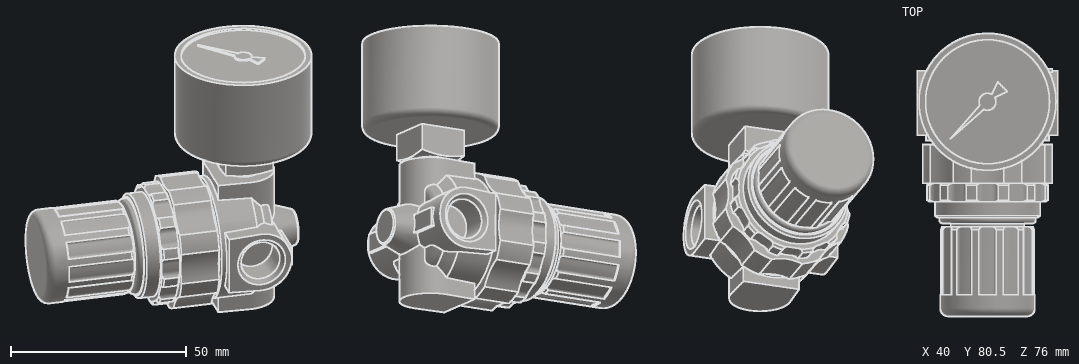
import cadquery as cq
import math


boss_span = 40.0
boss_end = boss_span / 2
boss_radius = 8.85
boss_front = -9.6
boss_taper = math.radians(2.9)
port_diameter = 11.4
port_mouth_diameter = 14.0
port_depth = 9.7
rib_width = 5.3
rib_start = -16.1
rib_end = 18.4
rib_back = 9.4

shell_radius = 35.0 / 2
shell_front = -11.0
back_radius = 14.6
back_cone_end = shell_radius - back_radius
back_rounding = 3.0
back_face = back_cone_end + back_rounding
groove_radius = 29.8 / 2
bonnet_back = -12.1
bonnet_front = -23.2
ring_front = -28.4
collar_radius = 30.0 / 2
collar_front = -32.45
step_radius = 28.3 / 2
step_front = -33.0
lip_radius = 27.5 / 2
lip_front = -34.6
lip_rounding = 1.05
neck_radius = 21.0 / 2
plug_base_radius = 8.2
plug_end_radius = 5.15
plug_end = 15.1
plug_chamfer = 0.4

bonnet_radius = 19.0
bonnet_valley = 17.6
bonnet_scallops = 8
bonnet_scallop_half_angle = 14.0

ring_radius = 35.0 / 2
ring_floor = 16.35
ring_floor_half_width = 1.3
ring_notches = 12
ring_land_half_angle = 5.0
ring_chamfer_length = 0.5
ring_chamfer_depth = 0.9

knob_radius = 27.0 / 2
knob_back = -35.5
knob_front = -61.0
knob_rounding = 2.3
knob_chamfer_length = 0.8
knob_chamfer_depth = 0.6
flute_count = 12
flute_front = -54.8
flute_floor = 13.0
flute_floor_half_width = 1.5
flute_half_width = 2.4

gauge_radius = 39.0 / 2
gauge_top = 55.95
gauge_bottom = 29.7
gauge_rounding = 2.0
dial_radius = 17.6
dial_depth = 0.6
stem_radius = 9.75 / 2
square_side = 14.0
square_bottom = 21.3
square_chamfer_height = 0.9
hub_radius = 2.4
pointer_thickness = 0.4
pointer_tip = 14.9
pointer_base_half_width = 0.8
tail_half_width = 0.65
tail_end_half_width = 1.9
tail_length = 6.0
pointer_angle = 225.0


def polar(radius, degrees):
    """Point at a radius and an angle."""
    angle = math.radians(degrees)
    return (radius * math.cos(angle), radius * math.sin(angle))


def extrude_along_y(profile, back, front):
    """Extrude a closed profile, drawn on the XZ plane, from back towards -Y to front."""
    return profile.extrude(back - front).translate((0, back, 0))


def revolve_about_y(points):
    """Turn (radius, y) points about the Y axis."""
    return cq.Workplane("XY").polyline(points).close().revolve(360, (0, 0, 0), (0, 1, 0))


def boss_bar():
    """Bar along Z through both bosses: round at the back, tapered flats to the front."""
    tangent_x = boss_radius * math.cos(boss_taper)
    tangent_y = -boss_radius * math.sin(boss_taper)
    front_x = tangent_x - (tangent_y - boss_front) * math.tan(boss_taper)
    return (
        cq.Workplane("XY", origin=(0, 0, -boss_end))
        .moveTo(front_x, boss_front)
        .lineTo(tangent_x, tangent_y)
        .threePointArc((0, boss_radius), (-tangent_x, tangent_y))
        .lineTo(-front_x, boss_front)
        .close()
        .extrude(boss_span)
    )


def port_cut():
    """Blind port with a 45 degree mouth, entering from the -X end."""
    port_radius = port_diameter / 2
    mouth_radius = port_mouth_diameter / 2
    mouth_depth = mouth_radius - port_radius
    return (
        cq.Workplane("XY")
        .polyline([
            (-boss_end, 0),
            (-boss_end, mouth_radius),
            (-boss_end + mouth_depth, port_radius),
            (-boss_end + port_depth, port_radius),
            (-boss_end + port_depth, 0),
        ])
        .close()
        .revolve(360, (0, 0, 0), (1, 0, 0))
    )


def turned_core():
    """Shell, rounded back, groove, collar, lip and neck in one turned piece."""
    back_arc_x, back_arc_y = polar(back_rounding, 45)
    lip_arc_x, lip_arc_y = polar(lip_rounding, 45)
    return (
        cq.Workplane("XY")
        .moveTo(0, back_face)
        .lineTo(back_radius - back_rounding, back_face)
        .threePointArc(
            (back_radius - back_rounding + back_arc_x, back_cone_end + back_arc_y),
            (back_radius, back_cone_end),
        )
        .lineTo(shell_radius, 0)
        .lineTo(shell_radius, shell_front)
        .lineTo(groove_radius, shell_front)
        .lineTo(groove_radius, ring_front)
        .lineTo(collar_radius, ring_front)
        .lineTo(collar_radius, collar_front)
        .lineTo(step_radius, step_front)
        .lineTo(lip_radius, step_front)
        .lineTo(lip_radius, lip_front + lip_rounding)
        .threePointArc(
            (lip_radius - lip_rounding + lip_arc_x, lip_front + lip_rounding - lip_arc_y),
            (lip_radius - lip_rounding, lip_front),
        )
        .lineTo(neck_radius, lip_front)
        .lineTo(neck_radius, knob_back)
        .lineTo(0, knob_back)
        .close()
        .revolve(360, (0, 0, 0), (0, 1, 0))
    )


def back_plug():
    """Tapered plug behind the housing."""
    return revolve_about_y([
        (0, 0),
        (plug_base_radius, 0),
        (plug_base_radius, back_face),
        (plug_end_radius, plug_end - plug_chamfer),
        (plug_end_radius - plug_chamfer, plug_end),
        (0, plug_end),
    ])


def bonnet():
    """Round bonnet with eight shallow concave scallops."""
    pitch = 360 / bonnet_scallops
    outline = cq.Workplane("XZ").moveTo(*polar(bonnet_radius, -bonnet_scallop_half_angle))
    for i in range(bonnet_scallops):
        middle = i * pitch
        scallop_end = middle + bonnet_scallop_half_angle
        next_scallop = middle + pitch - bonnet_scallop_half_angle
        outline = outline.threePointArc(polar(bonnet_valley, middle), polar(bonnet_radius, scallop_end))
        outline = outline.threePointArc(
            polar(bonnet_radius, middle + pitch / 2), polar(bonnet_radius, next_scallop)
        )
    return extrude_along_y(outline.close(), bonnet_back, bonnet_front)


def cut_notches(body, count, floor_radius, floor_half_width, edge, back, front):
    """Cut equal notches around Y. The floor follows floor_radius and curves up to the (x, z) edge."""
    edge_x, edge_z = edge
    outside_x = edge_x + 0.8
    floor_end_x = math.sqrt(floor_radius**2 - floor_half_width**2)
    floor_middle = polar(floor_radius, math.degrees(math.asin(floor_half_width / floor_radius)) / 2)
    half_profile = (
        cq.Workplane("XZ")
        .moveTo(floor_radius, 0)
        .threePointArc(floor_middle, (floor_end_x, floor_half_width))
        .tangentArcPoint((edge_x, edge_z), relative=False)
        .lineTo(outside_x, edge_z)
        .lineTo(outside_x, 0)
        .close()
    )
    half_cutter = extrude_along_y(half_profile, back, front)
    cutter = half_cutter.union(half_cutter.mirror("XY"))
    for i in range(count):
        body = body.cut(cutter.rotate((0, 0, 0), (0, 1, 0), i * 360 / count))
    return body


def grip_ring():
    """Chamfered ring with twelve notches around it."""
    chamfer_radius = ring_radius - ring_chamfer_depth
    ring = revolve_about_y([
        (0, bonnet_front),
        (chamfer_radius, bonnet_front),
        (ring_radius, bonnet_front - ring_chamfer_length),
        (ring_radius, ring_front + ring_chamfer_length),
        (chamfer_radius, ring_front),
        (0, ring_front),
    ])
    notch_edge = polar(ring_radius, 180 / ring_notches - ring_land_half_angle)
    return cut_notches(
        ring, ring_notches, ring_floor, ring_floor_half_width, notch_edge, bonnet_front, ring_front
    )


def make_housing():
    rib = cq.Workplane("XY").box(
        rib_end - rib_start, rib_back, rib_width, centered=(False, False, True)
    ).translate((rib_start, 0, 0))
    body = (
        turned_core()
        .union(boss_bar())
        .union(boss_bar().rotate((0, 0, 0), (0, 1, 0), 90))
        .union(back_plug())
        .union(bonnet())
        .union(grip_ring())
        .union(rib)
    )
    for angle in (0, 180):
        body = body.cut(port_cut().rotate((0, 0, 0), (0, 1, 0), angle))
    return body


def make_knob():
    """Knob with a rounded front, a chamfered back and flutes open to the back."""
    arc_x, arc_y = polar(knob_rounding, 45)
    blank = (
        cq.Workplane("XY")
        .moveTo(0, knob_back)
        .lineTo(knob_radius - knob_chamfer_depth, knob_back)
        .lineTo(knob_radius, knob_back - knob_chamfer_length)
        .lineTo(knob_radius, knob_front + knob_rounding)
        .threePointArc(
            (knob_radius - knob_rounding + arc_x, knob_front + knob_rounding - arc_y),
            (knob_radius - knob_rounding, knob_front),
        )
        .lineTo(0, knob_front)
        .close()
        .revolve(360, (0, 0, 0), (0, 1, 0))
    )
    flute_edge = (math.sqrt(knob_radius**2 - flute_half_width**2), flute_half_width)
    return cut_notches(
        blank, flute_count, flute_floor, flute_floor_half_width, flute_edge, knob_back, flute_front
    )


def gauge_square():
    """Square wrench block whose lower corners are turned off by a shallow cone."""
    half_side = square_side / 2
    corner_radius = half_side * math.sqrt(2)
    block = cq.Workplane("XY", origin=(0, 0, square_bottom)).rect(square_side, square_side)
    block = block.extrude(gauge_bottom - square_bottom)
    envelope = (
        cq.Workplane("XZ")
        .polyline([
            (0, square_bottom),
            (half_side, square_bottom),
            (corner_radius, square_bottom + square_chamfer_height),
            (corner_radius, gauge_bottom),
            (0, gauge_bottom),
        ])
        .close()
        .revolve(360, (0, 0, 0), (0, 1, 0))
    )
    return block.intersect(envelope)


def pointer():
    """Raised pointer on the dial: needle, round hub and flared tail."""
    level = gauge_top - dial_depth
    plane = cq.Workplane("XY", origin=(0, 0, level))
    hub = plane.circle(hub_radius).extrude(pointer_thickness)
    needle = plane.polyline([
        (0, -pointer_base_half_width),
        (hub_radius, -pointer_base_half_width),
        (pointer_tip, 0),
        (hub_radius, pointer_base_half_width),
        (0, pointer_base_half_width),
    ]).close().extrude(pointer_thickness)
    tail = plane.polyline([
        (0, -tail_half_width),
        (-hub_radius, -tail_half_width),
        (-tail_length, -tail_end_half_width),
        (-tail_length, tail_end_half_width),
        (-hub_radius, tail_half_width),
        (0, tail_half_width),
    ]).close().extrude(pointer_thickness)
    return hub.union(needle).union(tail).rotate((0, 0, 0), (0, 0, 1), pointer_angle)


def make_gauge():
    case = cq.Workplane("XY", origin=(0, 0, gauge_bottom)).circle(gauge_radius)
    case = case.extrude(gauge_top - gauge_bottom).faces("<Z").edges().fillet(gauge_rounding)
    dial = cq.Workplane("XY", origin=(0, 0, gauge_top - dial_depth)).circle(dial_radius).extrude(dial_depth)
    stem = cq.Workplane("XY", origin=(0, 0, boss_end)).circle(stem_radius).extrude(square_bottom - boss_end)
    return case.cut(dial).union(gauge_square()).union(stem).union(pointer())


housing = make_housing()
knob = make_knob()
gauge = make_gauge()

result = cq.Compound.makeCompound([housing.val(), knob.val(), gauge.val()])